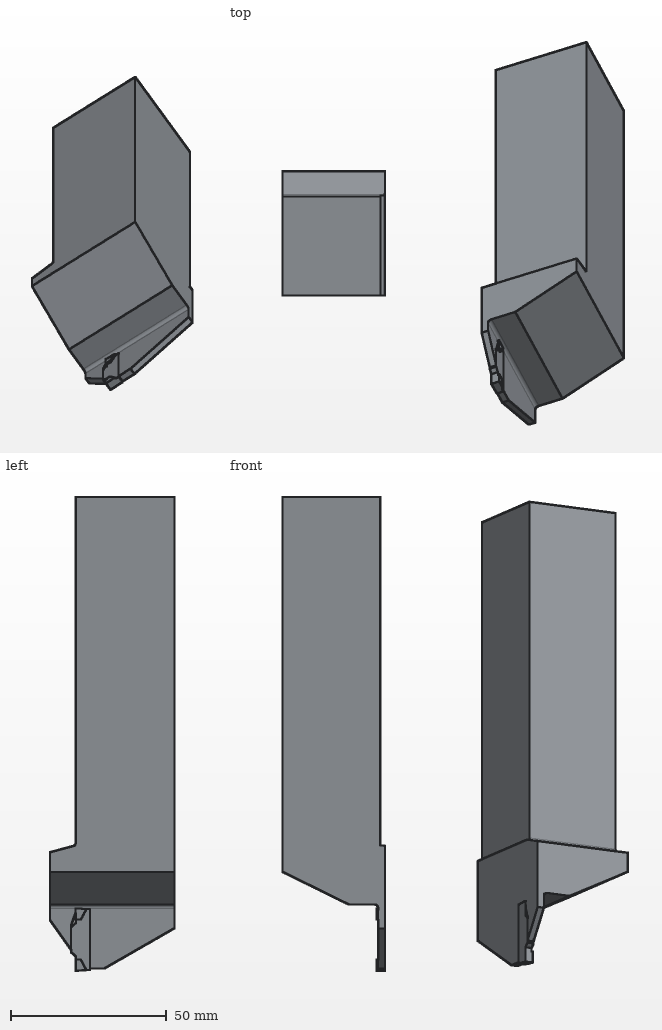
import cadquery as cq
import math

total_height = 152.4
width = 33.0
depth = 40.1
shank_width = 31.5
shank_depth = 31.9

shoulder_height = 40.4
shoulder_angle = math.radians(15)
shoulder_fillet = 0.9
side_shoulder_round = 0.6

slope_top = 31.9
head_bottom = 21.3
flat_start = 21.3
blade_thickness = 2.3
blade_fillet = 1.2

blade_front_height = 13.7
blade_floor = 0.8
floor_start = 22.5
blade_back_height = 16.3

insert_height = 20.1
insert_seat = 27.1
insert_edge = shank_depth
insert_back = 33.2
end_relief = 0.3
notch_height = 4.7
back_height = 6.0
pad_height = 3.7
pad_flat_end = 30.2
pad_root = 28.3
pad_rise = 0.5
jaw_slant_top = 18.6
jaw_slant_bottom = 14.6

blade_face = width - blade_thickness


def extrude_along_x(outline, start, end):
    """Extrude a closed (Y, Z) outline from X = start to X = end."""
    return cq.Workplane("YZ").workplane(offset=start).polyline(outline).close().extrude(end - start)


def mirrored_up(points):
    """Repeat points at the upper end of the insert, in reverse order."""
    return [(y, insert_height - z) for y, z in reversed(points)]


def make_holder():
    front_body = (
        cq.Workplane("XZ")
        .moveTo(0, total_height)
        .lineTo(0, slope_top)
        .lineTo(flat_start, head_bottom)
        .lineTo(blade_face - blade_fillet, head_bottom)
        .radiusArc((blade_face, head_bottom - blade_fillet), blade_fillet)
        .lineTo(blade_face, 0)
        .lineTo(width, 0)
        .lineTo(width, shoulder_height - side_shoulder_round)
        .radiusArc((width - side_shoulder_round, shoulder_height), -side_shoulder_round)
        .lineTo(shank_width, shoulder_height)
        .lineTo(shank_width, total_height)
        .close()
        .extrude(-depth)
    )

    back_drop = (depth - shank_depth) * math.tan(shoulder_angle)
    taper_slope = (blade_back_height - notch_height) / (depth - insert_edge)
    taper_end = depth - (blade_back_height - blade_floor) / taper_slope
    side_outline = [
        (0, total_height),
        (0, blade_front_height),
        (floor_start, blade_floor),
        (taper_end, blade_floor),
        (depth, blade_back_height),
        (depth, shoulder_height - back_drop),
        (shank_depth, shoulder_height),
        (shank_depth, total_height),
    ]
    side_body = extrude_along_x(side_outline, 0, width)
    shoulder_corner = cq.selectors.BoxSelector(
        (-1.5, shank_depth - 0.2, shoulder_height - 0.2),
        (width + 1.5, shank_depth + 0.2, shoulder_height + 0.2),
    )
    side_body = side_body.edges(shoulder_corner).fillet(shoulder_fillet)

    pocket_outline = [
        (insert_seat, 0),
        (insert_seat, insert_height - end_relief),
        (insert_edge, insert_height),
        (insert_edge, jaw_slant_top),
        (insert_back, jaw_slant_bottom),
        (insert_back, 0),
    ]
    pocket = extrude_along_x(pocket_outline, blade_face, width)
    return front_body.intersect(side_body).cut(pocket)


def make_insert():
    lower_edge = [
        (insert_seat, end_relief),
        (insert_edge, 0),
        (insert_edge, notch_height),
        (insert_back, back_height),
    ]
    core = extrude_along_x(lower_edge + mirrored_up(lower_edge), blade_face, width)

    root_relief = end_relief * (insert_edge - pad_root) / (insert_edge - insert_seat)
    lower_pad = [
        (pad_root, root_relief),
        (insert_edge, 0),
        (insert_edge, pad_height),
        (pad_flat_end, pad_height),
    ]
    for pad_outline in (lower_pad, mirrored_up(lower_pad)):
        core = core.union(extrude_along_x(pad_outline, blade_face - pad_rise, blade_face))
    return core


holder = make_holder()
insert = make_insert()
result = cq.Compound.makeCompound([holder.val(), insert.val()])